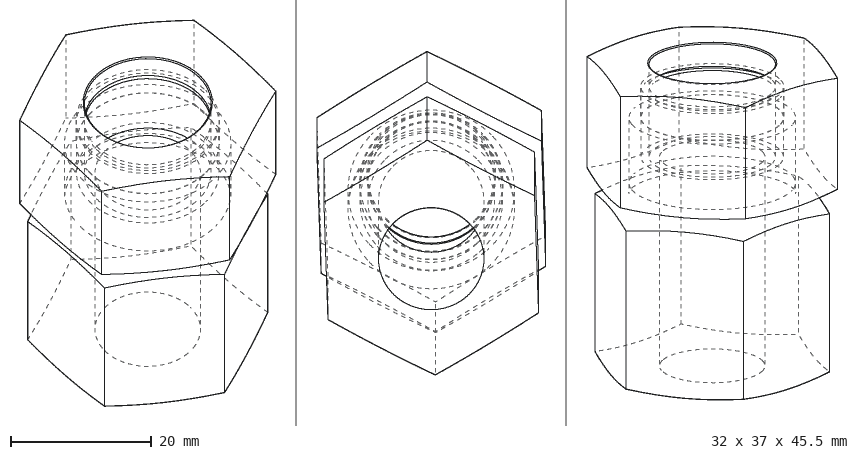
import cadquery as cq
import math

total_height = 45.5
fitting_hex_height = 25.0
nut_height = 18.0
nut_bottom = total_height - nut_height

nut_flats = 32.0
fitting_flats = 30.0
hex_chamfer_angle = 15.0

tube_diameter = 18.0
through_diameter = 15.0
mouth_chamfer = 0.2

neck_diameter = 23.7
neck_fillet = 1.15
neck_top = 37.3

ring_diameter = 20.3
ring_bottom = 31.4
ring_top = 41.3
ring_recess_diameter = 20.4
ring_recess_top = 41.95


def cylinder(diameter, bottom, top):
    """Upright cylinder on the Z axis between two heights."""
    return cq.Workplane("XY").workplane(offset=bottom).circle(diameter / 2).extrude(top - bottom)


def chamfered_hexagon(flats, bottom, top):
    """Upright hexagonal prism whose corners are cut by a cone at both ends."""
    corner_diameter = flats / math.cos(math.radians(30))
    flat_radius = flats / 2
    corner_radius = corner_diameter / 2
    corner_drop = (corner_radius - flat_radius) * math.tan(math.radians(hex_chamfer_angle))
    prism = (
        cq.Workplane("XY")
        .workplane(offset=bottom)
        .transformed(rotate=(0, 0, 90))
        .polygon(6, corner_diameter)
        .extrude(top - bottom)
    )
    envelope = (
        cq.Workplane("XZ")
        .moveTo(0, bottom)
        .lineTo(flat_radius, bottom)
        .lineTo(corner_radius, bottom + corner_drop)
        .lineTo(corner_radius, top - corner_drop)
        .lineTo(flat_radius, top)
        .lineTo(0, top)
        .close()
        .revolve(360, (0, 0, 0), (0, 1, 0))
    )
    return prism.intersect(envelope)


def make_neck():
    """Round neck that flares into the hexagon through a concave fillet."""
    neck_radius = neck_diameter / 2
    fillet_top = fitting_hex_height + neck_fillet
    return (
        cq.Workplane("XZ")
        .moveTo(0, fitting_hex_height)
        .lineTo(neck_radius + neck_fillet, fitting_hex_height)
        .radiusArc((neck_radius, fillet_top), neck_fillet)
        .lineTo(neck_radius, neck_top)
        .lineTo(0, neck_top)
        .close()
        .revolve(360, (0, 0, 0), (0, 1, 0))
    )


def make_fitting():
    """Hexagonal fitting with a neck, a ring socket and a through bore."""
    fitting = chamfered_hexagon(fitting_flats, 0, fitting_hex_height).union(make_neck())
    fitting = fitting.cut(cylinder(through_diameter, 0, neck_top))
    return fitting.cut(cylinder(ring_diameter, ring_bottom, neck_top))


def make_nut():
    """Union nut that fits over the neck and the sealing ring."""
    nut = chamfered_hexagon(nut_flats, nut_bottom, total_height)
    nut = nut.cut(cylinder(neck_diameter, nut_bottom, neck_top))
    nut = nut.cut(cylinder(ring_recess_diameter, neck_top, ring_recess_top))
    nut = nut.cut(cylinder(tube_diameter, ring_recess_top, total_height))
    mouth = cq.Solid.makeCone(
        tube_diameter / 2,
        tube_diameter / 2 + mouth_chamfer,
        mouth_chamfer,
        pnt=cq.Vector(0, 0, total_height - mouth_chamfer),
    )
    return nut.cut(cq.Workplane(mouth))


def make_sealing_ring():
    """Ring around the tube, seated in the socket of the neck and rising above it."""
    ring = cylinder(ring_diameter, ring_bottom, ring_top)
    return ring.cut(cylinder(tube_diameter, ring_bottom, ring_top))


fitting = make_fitting()
nut = make_nut()
sealing_ring = make_sealing_ring()

result = cq.Compound.makeCompound([fitting.val(), nut.val(), sealing_ring.val()])